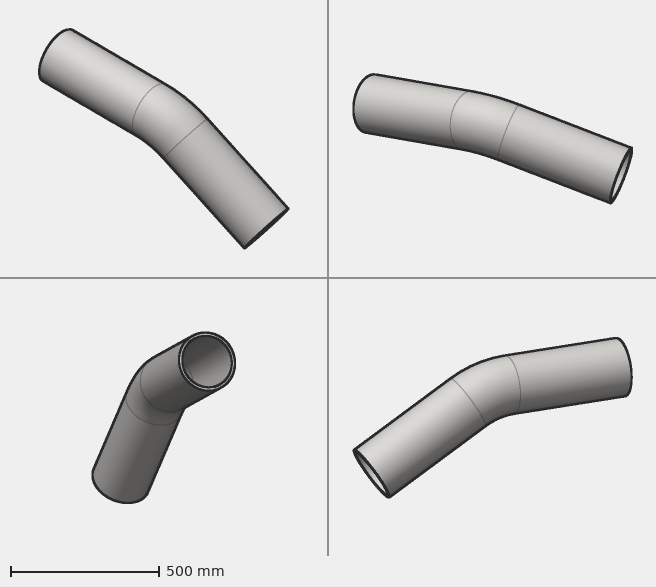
import cadquery as cq
import math

outer_diameter = 200.0
inner_diameter = 176.2
bend_angle = 30.0
bend_radius = 300.0
corner_distance = 488.04

angle = math.radians(bend_angle)
tangent_length = bend_radius * math.tan(angle / 2)
leg_length = corner_distance - tangent_length

outlet_direction = (math.cos(angle), -math.sin(angle))


def bend_point(turned):
    """Point on the elbow centreline after turning the given angle (radians)."""
    x = leg_length + bend_radius * math.sin(turned)
    z = -bend_radius * (1 - math.cos(turned))
    return (x, z)


bend_start = bend_point(0)
bend_middle = bend_point(angle / 2)
bend_end = bend_point(angle)
outlet = (
    bend_end[0] + leg_length * outlet_direction[0],
    bend_end[1] + leg_length * outlet_direction[1],
)


def make_centreline():
    """Inlet leg along +X, elbow turning down, then the outlet leg."""
    return (
        cq.Workplane("XZ")
        .moveTo(0, 0)
        .lineTo(*bend_start)
        .threePointArc(bend_middle, bend_end)
        .lineTo(*outlet)
    )


def make_pipe():
    """Ring section swept along the centreline, open at both ends."""
    ring = cq.Workplane("YZ").circle(outer_diameter / 2).circle(inner_diameter / 2)
    return ring.sweep(make_centreline())


result = make_pipe()